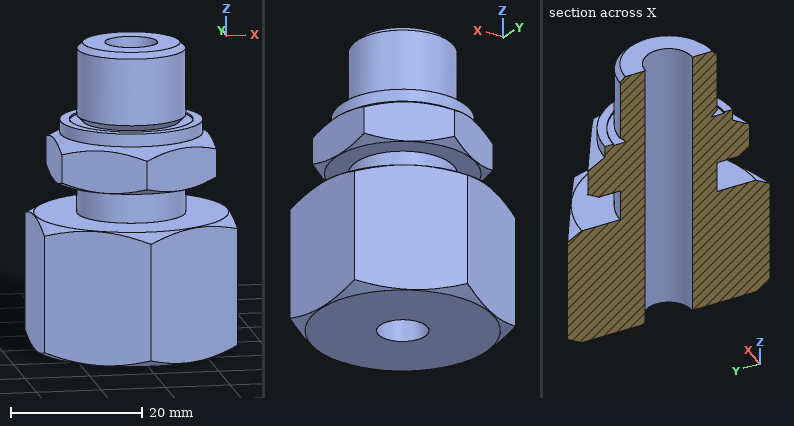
import cadquery as cq
import math

nut_height = 21.0
neck_length = 5.3
body_hex_height = 7.2
collar_height = 2.0
stud_length = 12.0

nut_width = 30.0
body_hex_width = 24.0

bore_diameter = 8.0
stud_diameter = 16.66
stud_tip_diameter = 14.9
stud_root_diameter = 14.7
collar_diameter = 21.9
groove_diameter = 18.9
nut_face_diameter = 29.8
body_hex_bottom_face_diameter = 23.9

groove_depth = 0.25

corner_chamfer_angle = 30.0

trim_clearance = 1.0

hexagon_turn = 30.0

neck_bottom = nut_height
body_hex_bottom = neck_bottom + neck_length
collar_bottom = body_hex_bottom + body_hex_height
collar_top = collar_bottom + collar_height
stud_top = collar_top + stud_length


def chamfered_hexagon(width, bottom, height, bottom_face_diameter, top_face_diameter):
    """Hexagonal prism with corners on the Y axis, its ends trimmed by cones."""
    corner_radius = width / math.sqrt(3)
    slope = math.tan(math.radians(corner_chamfer_angle))
    bottom_radius = bottom_face_diameter / 2
    top_radius = top_face_diameter / 2
    outer_radius = corner_radius + trim_clearance
    top = bottom + height
    prism = (
        cq.Workplane("XY", origin=(0, 0, bottom))
        .polygon(6, 2 * corner_radius)
        .extrude(height)
        .rotate((0, 0, 0), (0, 0, 1), hexagon_turn)
    )
    trimming_body = (
        cq.Workplane("XZ")
        .moveTo(0, bottom)
        .lineTo(bottom_radius, bottom)
        .lineTo(outer_radius, bottom + (outer_radius - bottom_radius) * slope)
        .lineTo(outer_radius, top - (outer_radius - top_radius) * slope)
        .lineTo(top_radius, top)
        .lineTo(0, top)
        .close()
        .revolve(360, (0, 0, 0), (0, 1, 0))
    )
    return prism.intersect(trimming_body)


def turned_body():
    """Neck, grooved collar and stud as one profile revolved about Z."""
    stud_radius = stud_diameter / 2
    tip_radius = stud_tip_diameter / 2
    root_radius = stud_root_diameter / 2
    collar_radius = collar_diameter / 2
    groove_radius = groove_diameter / 2
    groove_floor = collar_top - groove_depth
    tip_chamfer = stud_radius - tip_radius
    root_chamfer = stud_radius - root_radius
    return (
        cq.Workplane("XZ")
        .moveTo(0, neck_bottom)
        .lineTo(stud_radius, neck_bottom)
        .lineTo(stud_radius, collar_bottom)
        .lineTo(collar_radius, collar_bottom)
        .lineTo(collar_radius, collar_top)
        .lineTo(groove_radius, collar_top)
        .lineTo(groove_radius, groove_floor)
        .lineTo(root_radius, groove_floor)
        .lineTo(stud_radius, groove_floor + root_chamfer)
        .lineTo(stud_radius, stud_top - tip_chamfer)
        .lineTo(tip_radius, stud_top)
        .lineTo(0, stud_top)
        .close()
        .revolve(360, (0, 0, 0), (0, 1, 0))
    )


nut = chamfered_hexagon(nut_width, 0, nut_height, nut_face_diameter, nut_face_diameter)
body_hexagon = chamfered_hexagon(
    body_hex_width,
    body_hex_bottom,
    body_hex_height,
    body_hex_bottom_face_diameter,
    collar_diameter,
)
bore = cq.Workplane("XY").circle(bore_diameter / 2).extrude(stud_top)

result = turned_body().union(nut).union(body_hexagon).cut(bore)